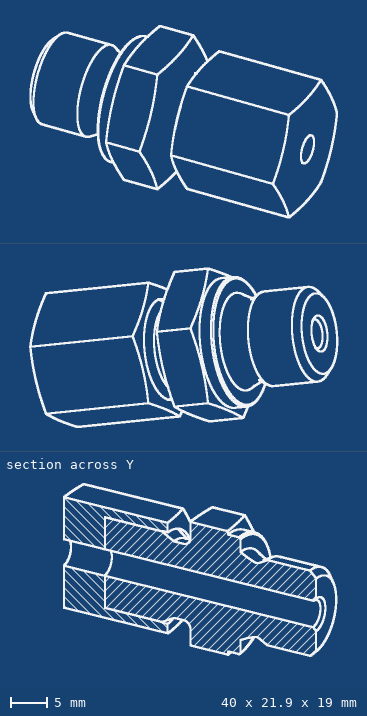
import cadquery as cq
import math


stud_diameter = 13.15
stud_chamfer = 1.0
stud_length = 12.0
relief_diameter = 11.45
relief_fillet = 1.0
relief_centre_x = 9.5
relief_front_angle = 30.0
relief_back_angle = 25.0

collar_diameter = 18.0
collar_width = 2.0
collar_chamfer = 0.25
hexagon_flats = 19.0
hexagon_width = 6.0
hexagon_bevel_circle = 18.8

neck_diameter = 11.8
neck_fillet = 1.0
neck_end_x = 22.5
neck_cone_angle = 30.0
thread_diameter = 14.0

bore_diameter = 4.0
bore_chamfer = 0.5

nut_flats = 17.0
nut_length = 16.5
nut_front_bevel_circle = 17.0
nut_back_bevel_circle = 16.8
nut_socket_depth = 10.0

bevel_angle = 15.0
bevel_overrun = 0.4

overall_length = 40.0
collar_x = stud_length
hexagon_x = collar_x + collar_width
neck_x = hexagon_x + hexagon_width
nut_x = overall_length - nut_length
fitting_end_x = nut_x + nut_socket_depth


def tan(angle):
    return math.tan(math.radians(angle))


def on_relief_arc(angle):
    """Point on the relief groove arc where its slope is the given angle."""
    turn = math.radians(angle)
    x = relief_centre_x + relief_fillet * math.sin(turn)
    radius = relief_diameter / 2 + relief_fillet * (1 - math.cos(turn))
    return x, radius


def revolve_about_x(profile):
    return profile.close().revolve(360, (0, 0, 0), (1, 0, 0))


def cylinder(x, length, diameter):
    return cq.Workplane("YZ").workplane(offset=x).circle(diameter / 2).extrude(length)


def beveled_hexagon(x, width, flats, front_circle, back_circle):
    """Hexagonal prism along X, corners at +-Y, with conical bevels at both ends."""
    corners = flats / math.cos(math.pi / 6)
    prism = cq.Workplane("YZ").workplane(offset=x).polygon(6, corners).extrude(width)

    outer = corners / 2 + bevel_overrun
    front = front_circle / 2
    back = back_circle / 2
    envelope = revolve_about_x(
        cq.Workplane("XY")
        .moveTo(x, 0)
        .lineTo(x, front)
        .lineTo(x + (outer - front) * tan(bevel_angle), outer)
        .lineTo(x + width - (outer - back) * tan(bevel_angle), outer)
        .lineTo(x + width, back)
        .lineTo(x + width, 0)
    )
    return prism.intersect(envelope)


def make_stud_and_collar():
    stud_radius = stud_diameter / 2
    collar_radius = collar_diameter / 2
    front_x, front_radius = on_relief_arc(-relief_front_angle)
    back_x, back_radius = on_relief_arc(relief_back_angle)
    relief_start_x = front_x - (stud_radius - front_radius) / tan(relief_front_angle)
    relief_end_radius = back_radius + (collar_x - back_x) * tan(relief_back_angle)
    return revolve_about_x(
        cq.Workplane("XY")
        .lineTo(0, stud_radius - stud_chamfer)
        .lineTo(stud_chamfer, stud_radius)
        .lineTo(relief_start_x, stud_radius)
        .lineTo(front_x, front_radius)
        .threePointArc((relief_centre_x, relief_diameter / 2), (back_x, back_radius))
        .lineTo(collar_x, relief_end_radius)
        .lineTo(collar_x, collar_radius - collar_chamfer)
        .lineTo(collar_x + collar_chamfer, collar_radius)
        .lineTo(hexagon_x, collar_radius)
        .lineTo(hexagon_x, 0)
    )


def make_neck_and_thread():
    neck_radius = neck_diameter / 2
    thread_radius = thread_diameter / 2
    cone_end_x = neck_end_x + (thread_radius - neck_radius) / tan(neck_cone_angle)
    return revolve_about_x(
        cq.Workplane("XY")
        .moveTo(neck_x, 0)
        .lineTo(neck_x, neck_radius + neck_fillet)
        .radiusArc((neck_x + neck_fillet, neck_radius), -neck_fillet)
        .lineTo(neck_end_x, neck_radius)
        .lineTo(cone_end_x, thread_radius)
        .lineTo(fitting_end_x, thread_radius)
        .lineTo(fitting_end_x, 0)
    )


def make_fitting():
    hexagon = beveled_hexagon(
        hexagon_x, hexagon_width, hexagon_flats, hexagon_bevel_circle, hexagon_bevel_circle
    )
    solid = make_stud_and_collar().union(hexagon).union(make_neck_and_thread())
    solid = solid.cut(cylinder(0, fitting_end_x, bore_diameter))
    return solid.faces("<X").edges(cq.selectors.RadiusNthSelector(0)).chamfer(bore_chamfer)


def make_nut():
    nut = beveled_hexagon(nut_x, nut_length, nut_flats, nut_front_bevel_circle, nut_back_bevel_circle)
    nut = nut.cut(cylinder(nut_x, nut_socket_depth, thread_diameter))
    return nut.cut(cylinder(nut_x, nut_length, bore_diameter))


fitting = make_fitting()
nut = make_nut()
result = cq.Compound.makeCompound([fitting.solids().val(), nut.solids().val()])